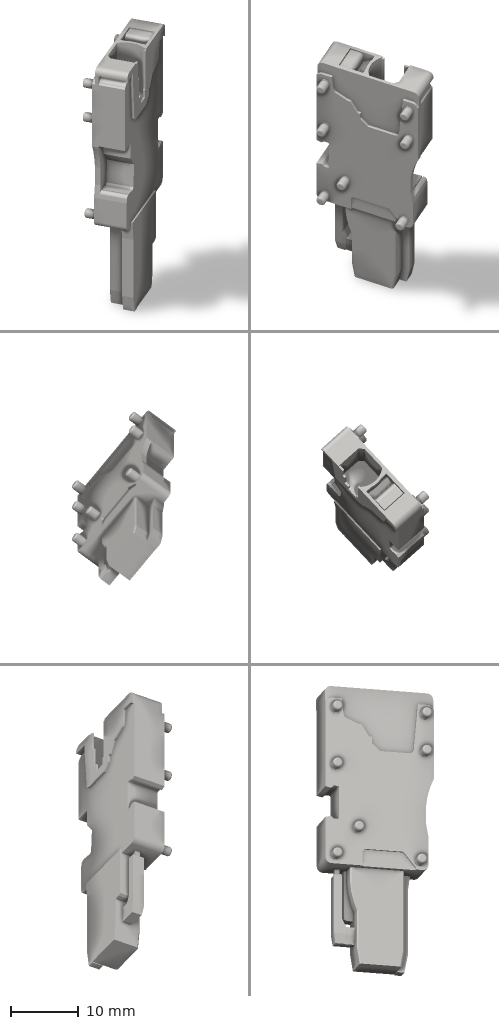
import cadquery as cq
import math

WIDTH = 16.5
HEIGHT = 42.25

HOUSING_THICKNESS = 5.1
HOUSING_BOTTOM = 14.87
CORNER_RADIUS = 0.95
FOOT_FRONT = 0.8
WAIST_TOP = 29.03
WAIST_DEPTH = 1.2
WAIST_UPPER = 24.9
WAIST_ARC_POINT = (0.7, 27.25)
WAIST_LOWER = 21.93
FOOT_TOP = 19.85

NOTCH_FLOOR = 14.45
NOTCH_TOP = 26.83
NOTCH_BOTTOM = 21.75
NOTCH_LIP = 0.35
NOTCH_LIP_WIDTH = 1.25
NOTCH_CORNER = 0.25

WALL_THICKNESS = 0.9
RECESS_TOP = 29.25
RECESS_DEPTH = 2.55
RECESS_UPPER_STEP = 26.55
RECESS_MAX_DEPTH = 3.97
RECESS_BULGE = 24.8
RECESS_ARC_POINT = (3.9, 22.8)
RECESS_FOOT_DEPTH = 3.7
FOOT_GROOVE_DEPTH = 0.2
FOOT_LIP_BOTTOM = 20.4
FOOT_LIP_TOP = 20.95
FOOT_LIP_FRONT = 0.9
FOOT_LIP_ARC_POINT = (1.1, 20.8)
FOOT_STEP_TOP = 21.05
FOOT_LIP_REAR = 1.5
FOOT_FLOOR_REAR = 3.45

MATING_DEPTH = 0.35
MATING_TOP = 17.45
MATING_REAR = 10.85
MATING_FRONT = 4.65
MATING_SLOPE_BOTTOM = 15.13
MATING_CORNER = 0.35

CAP_FACE = 0.42
CAP_END = 5.5
CAP_WALL = 0.6
SHOULDER_TOP = 40.35
SHOULDER_EDGE = 39.9
SHOULDER_BEVEL = 0.2
SHOULDER_ROUND_WIDTH = 1.1
SHOULDER_BULGE = 0.13
FRONT_SHOULDER = 2.45
REAR_SHOULDER = 14.03
LIP_BOTTOM = 41.2

SKIRT_FRONT = (3.1, 33.3)
SKIRT_ARC_POINT = (3.3, 32.85)
SKIRT_STEPS = (
    (3.8, 32.7),
    (8.15, 32.7),
    (9.42, 33.8),
    (9.42, 34.77),
    (9.9, 34.85),
    (11.03, 36.6),
    (11.58, 36.67),
    (13.55, 37.5),
    (13.77, 37.95),
)

WINDOW_X = (1.0, 5.03)
WINDOW_Y = (9.4, 13.35)
WINDOW_DEPTH = 2.1
LEVER_GAP = 0.13
LEVER_SINK = 0.13
LEVER_EDGE = 11.75
LEVER_ROUND = 0.65
LEVER_BASE = 0.42
RAMP_REAR = 10.75
RAMP_FRONT = 9.75
RAMP_DROP = 0.85
RAMP_HEIGHT = 0.65

ENTRY_X = (0.9, 5.15)
ENTRY_FRONT = 3.8
ENTRY_SIDE_END = 8.32
ENTRY_REAR = 9.1
ENTRY_CORNER = 0.65
ENTRY_FLOOR = 34.22
ENTRY_RIM = 0.42
ENTRY_JAMBS = (
    (3.8, 4.7, 42.0),
    (4.7, 5.15, 38.85),
    (5.15, 5.9, 35.5),
    (7.75, 8.03, 35.5),
    (8.03, 8.32, 42.0),
)

PLUG_FACE = 1.2
PLUG_SPLIT = 3.6
PLUG_END = 5.35
BLADE_BOTTOM = 0.13
TAPER_TOP = 2.6
BLADE_FRONT = 4.2
BLADE_REAR = 11.35
BLADE_ROOT_REAR = 12.42
BLADE_CURVE_BOTTOM = 8.35
BLADE_CURVE_TOP = 12.7
BLADE_ARC_POINT = (12.1, 10.48)
BLADE_CHAMFER = 0.2
TIP_TAPER = 0.42
BACK_FRONT = 3.05
BACK_ROOT_FRONT = 2.7
BACK_ROOT_BOTTOM = 12.5
BACK_TIP_FRONT = 3.55
BACK_REAR = 12.75
BACK_REAR_BOTTOM = 7.25
BACK_CORNER = 0.42
TONGUE_TOP = 15.6

ARM_X = (2.35, 4.22)
BAR_FACE = 2.55
ARM_REAR = 14.58
ARM_FRONT = 13.35
ARM_TOP = 14.05
ARM_ELBOW = 7.2
ARM_BAR_TOP = 6.0
ARM_TAPER_TOP = 4.95
ARM_BOTTOM = 3.42
ARM_TAPER = 0.25
STEM_Y = (ARM_REAR + ARM_FRONT) / 2
STEM_WIDTH = 0.75
ARM_BEVEL = 0.2

PEG_LENGTH = 1.8
PEG_RADIUS = 0.7
PEG_ROUND = 0.3
PEG_COLLAR = 0.13
PEG_GROOVE_WIDTH = 0.2
PEG_GROOVE_RADIUS = 0.65
PEG_PLACES = (
    (1.45, 38.8),
    (15.05, 38.8),
    (1.45, 33.0),
    (15.05, 30.0),
    (11.75, 20.5),
    (2.2, 16.2),
    (15.05, 16.2),
)


def box(x_range, y_range, z_range):
    """Block between the given limits."""
    sizes = [high - low for low, high in (x_range, y_range, z_range)]
    corner = (x_range[0], y_range[0], z_range[0])
    return cq.Workplane("XY").box(*sizes, centered=False).translate(corner)


def side_plane(x):
    """Workplane whose local axes are Y and Z, facing +X."""
    return cq.Workplane("YZ", origin=(x, 0, 0))


def side_prism(points, x_start, x_end):
    """Polygon in Y and Z, extruded along X."""
    return side_plane(x_start).polyline(points).close().extrude(x_end - x_start)


def case_outline():
    """Outer block shared by the housing and the cap, with the waist in its front edge."""
    return (
        side_plane(0)
        .moveTo(0, HEIGHT)
        .lineTo(0, WAIST_TOP)
        .threePointArc(WAIST_ARC_POINT, (WAIST_DEPTH, WAIST_UPPER))
        .lineTo(WAIST_DEPTH, WAIST_LOWER)
        .lineTo(FOOT_FRONT, FOOT_TOP)
        .lineTo(FOOT_FRONT, HOUSING_BOTTOM)
        .lineTo(WIDTH, HOUSING_BOTTOM)
        .lineTo(WIDTH, HEIGHT)
        .close()
        .extrude(CAP_END)
        .edges("|X and (<Z or >Z)")
        .fillet(CORNER_RADIUS)
    )


def cap_profile():
    """Region of the case that belongs to the cap: a wide top with a stepped skirt below."""
    shoulder_mid = (SHOULDER_TOP + SHOULDER_EDGE) / 2 + SHOULDER_BULGE
    half_round = SHOULDER_ROUND_WIDTH / 2
    return (
        side_plane(0)
        .moveTo(0, HEIGHT)
        .lineTo(0, SHOULDER_EDGE - SHOULDER_BEVEL)
        .lineTo(SHOULDER_BEVEL, SHOULDER_EDGE)
        .threePointArc((half_round, shoulder_mid), (SHOULDER_ROUND_WIDTH, SHOULDER_TOP))
        .lineTo(FRONT_SHOULDER, SHOULDER_TOP)
        .lineTo(*SKIRT_FRONT)
        .threePointArc(SKIRT_ARC_POINT, SKIRT_STEPS[0])
        .polyline(SKIRT_STEPS[1:], includeCurrent=True)
        .lineTo(REAR_SHOULDER, SHOULDER_TOP)
        .lineTo(WIDTH - SHOULDER_ROUND_WIDTH, SHOULDER_TOP)
        .threePointArc((WIDTH - half_round, shoulder_mid), (WIDTH, SHOULDER_EDGE))
        .lineTo(WIDTH, HEIGHT)
        .close()
        .extrude(CAP_END)
    )


def rail_notch():
    """Slot through the rear edge with a hooked lip at each side of its mouth."""
    crest = WIDTH - NOTCH_LIP_WIDTH / 2
    inner = WIDTH - NOTCH_LIP_WIDTH
    points = [
        (WIDTH, NOTCH_TOP - NOTCH_LIP / 2),
        (crest, NOTCH_TOP - NOTCH_LIP),
        (crest - NOTCH_CORNER, NOTCH_TOP - NOTCH_LIP),
        (inner, NOTCH_TOP),
        (NOTCH_FLOOR, NOTCH_TOP),
        (NOTCH_FLOOR, NOTCH_BOTTOM),
        (inner, NOTCH_BOTTOM),
        (crest - NOTCH_CORNER, NOTCH_BOTTOM + NOTCH_LIP),
        (crest, NOTCH_BOTTOM + NOTCH_LIP),
        (WIDTH, NOTCH_BOTTOM + NOTCH_LIP / 2),
    ]
    return side_prism(points, 0, HOUSING_THICKNESS).edges("|X and <Y").fillet(NOTCH_CORNER)


def finger_recess():
    """Hollow in the front face, leaving the outer wall, with a grooved lip along the foot."""
    groove_floor = FOOT_LIP_TOP - FOOT_GROOVE_DEPTH
    groove_rear = FOOT_LIP_REAR + FOOT_GROOVE_DEPTH
    return (
        side_plane(WALL_THICKNESS)
        .moveTo(0, RECESS_TOP)
        .lineTo(RECESS_DEPTH, RECESS_TOP)
        .lineTo(RECESS_DEPTH, RECESS_UPPER_STEP)
        .lineTo(RECESS_MAX_DEPTH, RECESS_BULGE)
        .threePointArc(RECESS_ARC_POINT, (RECESS_FOOT_DEPTH, FOOT_STEP_TOP))
        .lineTo(FOOT_FLOOR_REAR, groove_floor)
        .lineTo(groove_rear, FOOT_LIP_TOP)
        .lineTo(groove_rear, groove_floor)
        .lineTo(FOOT_LIP_REAR, groove_floor)
        .lineTo(FOOT_LIP_REAR, FOOT_LIP_TOP)
        .threePointArc(FOOT_LIP_ARC_POINT, (FOOT_LIP_FRONT, FOOT_LIP_BOTTOM))
        .lineTo(0, FOOT_LIP_BOTTOM)
        .close()
        .extrude(HOUSING_THICKNESS - WALL_THICKNESS)
    )


def mating_pocket():
    """Shallow pocket in the outer face, open at the bottom of the housing."""
    points = [
        (BACK_ROOT_FRONT, HOUSING_BOTTOM),
        (BACK_ROOT_FRONT, MATING_SLOPE_BOTTOM),
        (MATING_FRONT, MATING_TOP),
        (MATING_REAR - MATING_CORNER, MATING_TOP),
        (MATING_REAR, MATING_TOP - MATING_CORNER),
        (MATING_REAR, HOUSING_BOTTOM),
    ]
    return side_prism(points, 0, MATING_DEPTH)


def peg(y, z):
    """Turned peg standing out of the outer face at the given place."""
    shaft = side_plane(-PEG_LENGTH).circle(PEG_RADIUS).extrude(PEG_LENGTH)
    shaft = shaft.faces("<X").edges().fillet(PEG_ROUND)
    groove = (
        side_plane(-PEG_COLLAR - PEG_GROOVE_WIDTH)
        .circle(PEG_RADIUS)
        .circle(PEG_GROOVE_RADIUS)
        .extrude(PEG_GROOVE_WIDTH)
    )
    return shaft.cut(groove).translate((0, y, z))


def plug_blade():
    """Outer half of the plug, with a bevelled rim and a tapered tip."""
    return (
        side_plane(PLUG_FACE)
        .moveTo(BLADE_FRONT, HOUSING_BOTTOM)
        .lineTo(BLADE_FRONT, TAPER_TOP)
        .lineTo(BLADE_FRONT + TIP_TAPER, BLADE_BOTTOM)
        .lineTo(BLADE_REAR - TIP_TAPER, BLADE_BOTTOM)
        .lineTo(BLADE_REAR, TAPER_TOP)
        .lineTo(BLADE_REAR, BLADE_CURVE_BOTTOM)
        .threePointArc(BLADE_ARC_POINT, (BLADE_ROOT_REAR, BLADE_CURVE_TOP))
        .lineTo(BLADE_ROOT_REAR, HOUSING_BOTTOM)
        .close()
        .extrude(PLUG_SPLIT - PLUG_FACE)
        .faces("<X").edges("not(<Z or >Z)")
        .chamfer(BLADE_CHAMFER)
    )


def plug_back():
    """Inner half of the plug, whose front runs past the blade."""
    points = [
        (BACK_ROOT_FRONT, HOUSING_BOTTOM),
        (BACK_FRONT, BACK_ROOT_BOTTOM),
        (BACK_FRONT, TAPER_TOP),
        (BACK_TIP_FRONT, 0),
        (BLADE_FRONT + TIP_TAPER, 0),
        (BLADE_FRONT + TIP_TAPER, BLADE_BOTTOM),
        (BLADE_REAR - TIP_TAPER, BLADE_BOTTOM),
        (BLADE_REAR, TAPER_TOP),
        (BLADE_REAR, BACK_REAR_BOTTOM),
        (BACK_REAR - BACK_CORNER, BACK_REAR_BOTTOM),
        (BACK_REAR, BACK_REAR_BOTTOM + BACK_CORNER / 2),
        (BACK_REAR, HOUSING_BOTTOM),
    ]
    tongue = box(
        (HOUSING_THICKNESS, PLUG_END), (BACK_ROOT_FRONT, BACK_REAR), (HOUSING_BOTTOM, TONGUE_TOP)
    )
    return side_prism(points, PLUG_SPLIT, PLUG_END).union(tongue)


def tip_bevel(face):
    """Wedge that bevels the lower end of a block whose outer side is at the given X."""
    return (
        cq.Workplane("XZ")
        .polyline([(face, ARM_TAPER_TOP), (face, ARM_BOTTOM), (face + ARM_TAPER, ARM_BOTTOM)])
        .close()
        .extrude(-WIDTH)
    )


def hooked_arm():
    """Arm hanging behind the plug, joined to it by a bar at its lower end."""
    arm_points = [
        (ARM_REAR, ARM_TOP),
        (ARM_FRONT, ARM_TOP),
        (ARM_FRONT, ARM_ELBOW),
        (BACK_REAR, ARM_BAR_TOP),
        (BACK_REAR, ARM_TAPER_TOP),
        (BACK_REAR + ARM_TAPER, ARM_BOTTOM),
        (ARM_REAR - ARM_TAPER, ARM_BOTTOM),
        (ARM_REAR, ARM_TAPER_TOP),
    ]
    arm = side_prism(arm_points, *ARM_X).faces(">Z").chamfer(ARM_BEVEL)
    arm = arm.cut(tip_bevel(ARM_X[0]))
    bar_rear = BACK_REAR + ARM_TAPER
    bar = box((BAR_FACE, ARM_X[1]), (BLADE_REAR, BACK_REAR), (ARM_BOTTOM, ARM_BAR_TOP))
    bar = bar.union(box((BAR_FACE, ARM_X[1]), (BACK_REAR, bar_rear), (ARM_BOTTOM, ARM_TAPER_TOP)))
    bar = bar.cut(tip_bevel(BAR_FACE))
    half_stem = STEM_WIDTH / 2
    middle = sum(ARM_X) / 2
    stem = box(
        (middle - half_stem, middle + half_stem),
        (STEM_Y - half_stem, STEM_Y + half_stem),
        (ARM_TOP, HOUSING_BOTTOM),
    )
    return arm.union(bar).union(stem)


def make_housing():
    """Housing with its pegs and plug."""
    case = case_outline().cut(cap_profile())
    body = case.intersect(box((0, HOUSING_THICKNESS), (0, WIDTH), (0, HEIGHT)))
    body = body.cut(rail_notch()).cut(finger_recess()).cut(mating_pocket())
    body = body.union(hooked_arm()).union(plug_blade()).union(plug_back())
    for y, z in PEG_PLACES:
        body = body.union(peg(y, z))
    return body


def wire_entry(rim):
    """D-shaped shaft seen from above, grown by the given rim."""
    left, right = ENTRY_X
    left -= rim
    right += rim
    front = ENTRY_FRONT - rim
    return (
        cq.Workplane("XY", origin=(0, 0, ENTRY_FLOOR))
        .moveTo(left, front + ENTRY_CORNER)
        .lineTo(left + ENTRY_CORNER, front)
        .lineTo(right, front)
        .lineTo(right, ENTRY_SIDE_END + rim)
        .threePointArc((sum(ENTRY_X) / 2, ENTRY_REAR + rim), (left, ENTRY_SIDE_END + rim))
        .close()
        .extrude(HEIGHT - ENTRY_FLOOR)
    )


def lever():
    """Lever in the window: a flat with a rounded edge, a groove, then a ramp that rises to the front."""
    top = HEIGHT - LEVER_SINK
    floor = HEIGHT - WINDOW_DEPTH
    groove = floor + LEVER_BASE
    crest = HEIGHT - RAMP_DROP
    round_mid = LEVER_ROUND * math.sqrt(0.5)
    front = LEVER_EDGE - LEVER_ROUND
    return (
        side_plane(WINDOW_X[0] + LEVER_GAP)
        .moveTo(WINDOW_Y[1] - LEVER_GAP, floor)
        .lineTo(WINDOW_Y[1] - LEVER_GAP, top)
        .lineTo(LEVER_EDGE, top)
        .threePointArc(
            (LEVER_EDGE - round_mid, top - LEVER_ROUND + round_mid), (front, top - LEVER_ROUND)
        )
        .lineTo(front, groove)
        .lineTo(RAMP_REAR, groove)
        .lineTo(RAMP_REAR, crest - RAMP_HEIGHT)
        .lineTo(RAMP_FRONT, crest)
        .lineTo(RAMP_FRONT, floor)
        .close()
        .extrude(WINDOW_X[1] - WINDOW_X[0] - 2 * LEVER_GAP)
    )


def make_cap():
    """Cap with the lever window, the wire entry, and an overhanging front lip."""
    body = case_outline().intersect(cap_profile())
    body = body.intersect(box((CAP_FACE, CAP_END), (0, WIDTH), (0, HEIGHT)))
    body = body.cut(box((CAP_FACE + CAP_WALL, CAP_END), (0, FRONT_SHOULDER), (0, LIP_BOTTOM)))
    window = box(WINDOW_X, WINDOW_Y, (HEIGHT - WINDOW_DEPTH, HEIGHT))
    body = body.cut(window.cut(wire_entry(ENTRY_RIM))).union(lever())
    side_opening = box(
        (ENTRY_X[1], CAP_END), (ENTRY_FRONT, ENTRY_SIDE_END), (ENTRY_FLOOR, HEIGHT)
    )
    body = body.cut(wire_entry(0)).cut(side_opening)
    for start, end, top in ENTRY_JAMBS:
        body = body.union(box((ENTRY_X[1], CAP_END), (start, end), (ENTRY_FLOOR, top)))
    return body


housing = make_housing()
cap = make_cap()

result = cq.Compound.makeCompound([housing.solids().val(), cap.solids().val()])